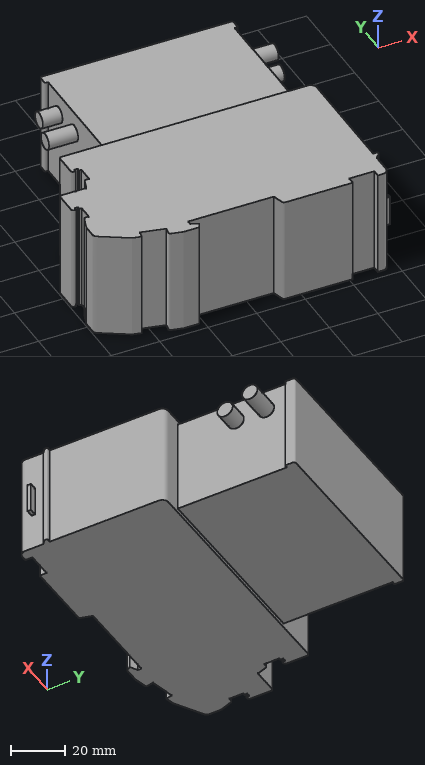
import cadquery as cq


housing_height = 44.0
housing_top = 62.5
wall_right = 115.7
right_corner_radius = 2.6
edge_radius = 1.0

step_left = (10.7, 0.0)
step_top = (housing_top, 40.7)
lip_length = 10.6
notch_depth = 3.9
notch_bottom = (45.5, 24.2)
step_root_inset = 0.5
shelf_width = 1.9
groove_offset = 1.7
groove_width = 1.3
groove_depth = 1.2

slant_end = (0.0, 18.4)
ramp_start = (0.0, 12.2)
ramp_radius = 2.1
ramp_end = (12.2, 5.0)
nose_tip = (15.8, 4.2)
valley_left = (16.4, 6.9)
valley_right = (26.1, 4.6)

rail_recess_y = 5.1
foot_slope_left = 70.7
foot_left = 72.1
foot_left_radius = 1.0
foot_slot_left = 100.7
foot_slot_radius = 0.4
foot_slot_right = 111.1
foot_slot_depth = 3.0
hook_heel = (25.5, 1.3)
hook_heel_radius = 0.7
hook_sole = (31.0, 0.0)
hook_toe = (37.5, 0.0)
hook_tip = (38.4, 1.9)
hook_toe_radius = 1.2
hook_throat_x = 35.4
hook_throat_y = 3.6

catch_tip = 117.5
catch_top = 13.2
catch_face_length = 1.2
catch_bottom = 10.3
catch_top_radius = 0.4
catch_bevel_radius = 1.0
tab_tip = 118.8
tab_thickness = 1.4
tab_y = 6.2
tab_height = 12.5
tab_embed = 1.2

module_left = 29.3
module_right = 106.3
module_top = 113.5
module_embed = 1.2
module_inset = 1.8
flange_overhang = 1.3
flange_length = 4.3
flange_corner_radius = 1.0
flange_lip_radius = 0.5

peg_diameter = 6.7
peg_z = 33.0
pegs = (
    (100.5, 21.3, 118.5),
    (87.5, 17.3, 114.5),
)


def step_points(left, top, bottom):
    """Outline of one terminal step, from its top corner down to the notch shelf."""
    lip = top - lip_length
    groove_left = left + groove_offset
    groove_right = groove_left + groove_width
    notch_right = left + notch_depth
    return [
        (left, top),
        (left, lip),
        (groove_left, lip),
        (groove_left, lip + groove_depth),
        (groove_right, lip + groove_depth),
        (groove_right, lip),
        (notch_right, lip),
        (notch_right, bottom),
        (notch_right - shelf_width, bottom),
    ]


def round_corner(solid, corner, radius):
    """Fillet the upright edge that passes through an (x, y) corner."""
    reach = 0.1
    x, y = corner
    picker = cq.selectors.BoxSelector(
        (x - reach, y - reach, -reach),
        (x + reach, y + reach, housing_height + reach),
    )
    return solid.edges("|Z").edges(picker).fillet(radius)


def make_housing():
    upper_step = step_points(step_left[0], step_top[0], notch_bottom[0])
    lower_step = step_points(step_left[1], step_top[1], notch_bottom[1])
    step_root = (step_left[0] + step_root_inset, step_top[1])
    lower_left = [
        slant_end,
        ramp_start,
        ramp_end,
        nose_tip,
        valley_left,
        valley_right,
        hook_heel,
        hook_sole,
        hook_toe,
        hook_tip,
        (hook_throat_x, hook_throat_y),
        (hook_throat_x, rail_recess_y),
    ]
    feet = [
        (foot_slope_left, rail_recess_y),
        (foot_left, 0.0),
        (foot_slot_left, 0.0),
        (foot_slot_left, foot_slot_depth),
        (foot_slot_right, foot_slot_depth),
        (foot_slot_right, 0.0),
        (wall_right, 0.0),
    ]
    catch = [
        (wall_right, catch_bottom),
        (catch_tip, catch_top - catch_face_length),
        (catch_tip, catch_top),
        (wall_right, catch_top),
    ]
    outline = upper_step + [step_root] + lower_step + lower_left + feet + catch
    outline.append((wall_right, housing_top))
    housing = cq.Workplane("XY").polyline(outline).close().extrude(housing_height)

    rounded_corners = [
        (ramp_start, ramp_radius),
        (hook_heel, hook_heel_radius),
        (hook_toe, hook_toe_radius),
        ((foot_left, 0.0), foot_left_radius),
        ((foot_slot_left, 0.0), foot_slot_radius),
        ((wall_right, 0.0), right_corner_radius),
        ((wall_right, housing_top), right_corner_radius),
        ((catch_tip, catch_top), catch_top_radius),
        ((catch_tip, catch_top - catch_face_length), catch_bevel_radius),
    ]
    for step in (upper_step, lower_step):
        outer_top, outer_bottom, shelf_end = step[0], step[1], step[-1]
        for corner in (outer_top, outer_bottom, shelf_end):
            rounded_corners.append((corner, edge_radius))
    for corner, radius in rounded_corners:
        housing = round_corner(housing, corner, radius)
    return housing


def make_module():
    height = housing_height - 2 * module_inset
    root_y = housing_top - module_embed
    flange_y = module_top - flange_length
    flange_left = module_left - flange_overhang
    flange_right = module_right + flange_overhang
    outline = [
        (module_left, root_y),
        (module_left, flange_y),
        (flange_left, flange_y),
        (flange_left, module_top),
        (flange_right, module_top),
        (flange_right, flange_y),
        (module_right, flange_y),
        (module_right, root_y),
    ]
    module = (
        cq.Workplane("XY")
        .workplane(offset=module_inset)
        .polyline(outline)
        .close()
        .extrude(height)
    )
    for x in (flange_left, flange_right):
        module = round_corner(module, (x, module_top), flange_corner_radius)
        module = round_corner(module, (x, flange_y), flange_lip_radius)
    return module


def make_peg(y, left, right):
    return (
        cq.Workplane("YZ", origin=(left, y, peg_z))
        .circle(peg_diameter / 2)
        .extrude(right - left)
    )


def make_tab():
    length = tab_tip - wall_right + tab_embed
    return cq.Workplane("XY").box(length, tab_thickness, tab_height).translate(
        (tab_tip - length / 2, tab_y, housing_height / 2)
    )


result = make_housing().union(make_module()).union(make_tab())
for peg in pegs:
    result = result.union(make_peg(*peg))